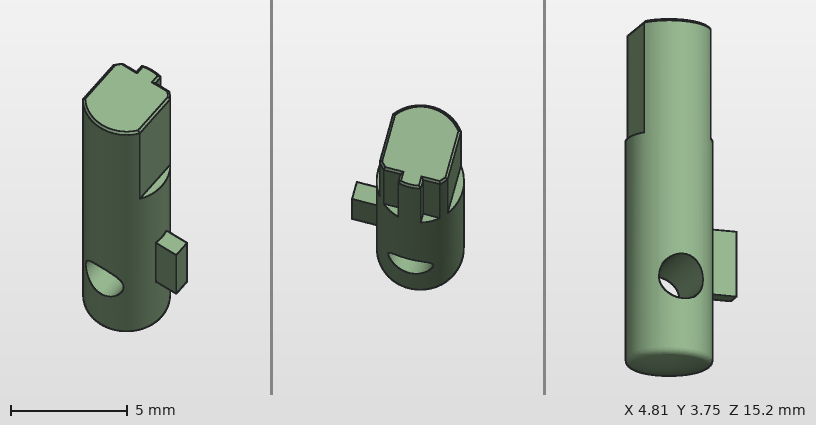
import cadquery as cq
import math

length = 15.25
pin_diameter = 3.75
pin_radius = pin_diameter / 2
dome_radius = 5.0
dome_edge_fillet = 0.27

head_length = 5.0
flat_offset = 1.51
shoulder_offset = 1.4
key_width = 1.0
head_chamfer = 0.1

hole_diameter = 2.0
hole_height = 3.77

lug_reach = 2.93
lug_width = 0.8
lug_bottom = 3.52
lug_height = 2.9

head_bottom = length - head_length


def make_pin():
    """Revolve the round body with its domed and rounded lower end."""
    dome_edge_height = dome_radius - math.sqrt(dome_radius**2 - pin_radius**2)
    mid_radius = pin_radius / 2
    mid_height = dome_radius - math.sqrt(dome_radius**2 - mid_radius**2)
    pin = (
        cq.Workplane("XZ")
        .threePointArc((mid_radius, mid_height), (pin_radius, dome_edge_height))
        .lineTo(pin_radius, head_bottom)
        .lineTo(0, head_bottom)
        .close()
        .revolve(360, (0, 0), (0, 1))
    )
    dome_edge = cq.selectors.BoxSelector(
        (-pin_diameter, -pin_diameter, dome_edge_height / 2),
        (pin_diameter, pin_diameter, 2 * dome_edge_height),
    )
    return pin.edges("%CIRCLE").edges(dome_edge).fillet(dome_edge_fillet)


def make_head():
    """Round head with two side flats and a key at the back, chamfered on top."""
    head_base = cq.Workplane("XY").workplane(offset=head_bottom)
    block_depth = pin_radius + shoulder_offset
    block_center = (shoulder_offset - pin_radius) / 2
    block = head_base.center(0, block_center).rect(2 * flat_offset, block_depth).extrude(head_length)
    key = head_base.center(0, pin_radius / 2).rect(key_width, pin_radius).extrude(head_length)
    head = head_base.circle(pin_radius).extrude(head_length).intersect(block.union(key))
    return head.faces(">Z").chamfer(head_chamfer)


def make_cross_hole():
    """Cylinder that passes through the pin along Y."""
    hole_plane = cq.Workplane("XZ", origin=(0, 0, hole_height))
    return hole_plane.circle(hole_diameter / 2).extrude(pin_radius, both=True)


def make_lug():
    """Rectangular lug, started inside the pin between its wall and the cross hole."""
    lug_root = (pin_radius + hole_diameter / 2) / 2
    return cq.Workplane("XY").box(
        lug_reach - lug_root, lug_width, lug_height, centered=(False, True, False)
    ).translate((lug_root, 0, lug_bottom))


result = make_pin().union(make_head()).union(make_lug()).cut(make_cross_hole())